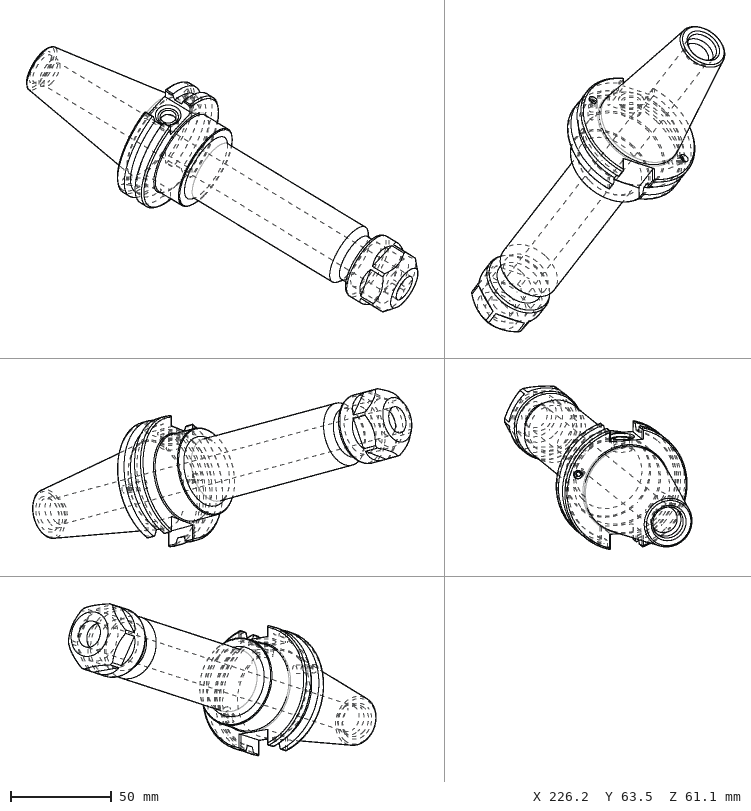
import cadquery as cq
import math

LENGTH = 226.2

cut_overrun = 2.3

taper_nose_radius = 11.5
taper_small_radius = 12.5
taper_nose_chamfer = taper_small_radius - taper_nose_radius
taper_end_x = 68.5
taper_large_radius = 22.2

flange_start_x = 71.0
flange_end_x = 87.5
flange_radius = 63.5 / 2
flange_chamfer = 1.0
flange_root_fillet = 0.57
groove_x = 79.5
groove_floor_radius = 56.8 / 2
groove_floor_width = 4.0
groove_mouth_width = 6.8

collar_radius = 22.2
collar_end_x = 103.0
collar_chamfer = 0.5
shank_radius = 32.0 / 2
shank_start_x = 106.3
shoulder_radius = 4.0
shank_end_x = 191.9
neck_radius = 12.5
neck_start_x = 195.3
nose_end_x = 219.5

bore_mouth_radius = 9.0
pilot_radius = 8.0
pilot_depth = 5.0
through_radius = 13.3 / 2
pilot_cone_length = 2.3

slot_width = 16.3
top_slot_floor_z = 25.0
bottom_slot_floor_z = -22.6
slot_edge_chamfer = 0.7

chip_mouth_radius = 6.3
chip_radius = 10.2 / 2
chip_depth = 6.8
plug_hole_radius = 8.0 / 2
plug_hole_depth = 3.5
plug_point_depth = 1.5
plug_recess = chip_mouth_radius - chip_radius

coolant_circle_radius = 27.0
coolant_clock_angle = 20.0
coolant_tilt = 25.0
coolant_radius = 2.0
coolant_depth = 11.3
screw_recess = 1.8
screw_length = 4.5
socket_radius = 1.1
socket_depth = 1.8

nut_start_x = 202.3
nut_radius = 35.0 / 2
nut_rear_chamfer = 0.7
nut_rear_chamfer_length = 1.4
nut_front_radius = 11.3
flat_count = 6
hex_across_flats = 31.2
hex_slope_start_x = 210.9
hex_slope_length = 1.5


def turned(outline):
    """Revolve a closed (X, radius) outline about the X axis."""
    return outline.close().revolve(360, (0, 0, 0), (1, 0, 0))


def holder_blank():
    nose = cq.Workplane("XY").moveTo(0, 0).lineTo(0, taper_nose_radius)
    taper = (
        nose.lineTo(taper_nose_chamfer, taper_small_radius)
        .lineTo(taper_end_x, taper_large_radius)
        .lineTo(flange_start_x - flange_root_fillet, taper_large_radius)
        .radiusArc((flange_start_x, taper_large_radius + flange_root_fillet), -flange_root_fillet)
    )
    flange = (
        taper.lineTo(flange_start_x, flange_radius - flange_chamfer)
        .lineTo(flange_start_x + flange_chamfer, flange_radius)
        .lineTo(groove_x - groove_mouth_width / 2, flange_radius)
        .lineTo(groove_x - groove_floor_width / 2, groove_floor_radius)
        .lineTo(groove_x + groove_floor_width / 2, groove_floor_radius)
        .lineTo(groove_x + groove_mouth_width / 2, flange_radius)
        .lineTo(flange_end_x - flange_chamfer, flange_radius)
        .lineTo(flange_end_x, flange_radius - flange_chamfer)
        .lineTo(flange_end_x, collar_radius + flange_root_fillet)
        .radiusArc((flange_end_x + flange_root_fillet, collar_radius), -flange_root_fillet)
    )
    shoulder_drop = shoulder_radius - math.sqrt(shoulder_radius**2 - (shank_start_x - collar_end_x) ** 2)
    shank = (
        flange.lineTo(collar_end_x - collar_chamfer, collar_radius)
        .lineTo(collar_end_x, collar_radius - collar_chamfer)
        .lineTo(collar_end_x, shank_radius + shoulder_drop)
        .radiusArc((shank_start_x, shank_radius), -shoulder_radius)
        .lineTo(shank_end_x, shank_radius)
        .lineTo(neck_start_x, neck_radius)
        .lineTo(nose_end_x, neck_radius)
        .lineTo(nose_end_x, 0)
    )
    return turned(shank)


def bore():
    mouth_depth = bore_mouth_radius - pilot_radius
    return turned(
        cq.Workplane("XY")
        .moveTo(0, 0)
        .lineTo(0, bore_mouth_radius)
        .lineTo(mouth_depth, pilot_radius)
        .lineTo(pilot_depth, pilot_radius)
        .lineTo(pilot_depth + pilot_cone_length, through_radius)
        .lineTo(LENGTH, through_radius)
        .lineTo(LENGTH, 0)
    )


def driving_slot(floor_z):
    """Cutter that clears the flange outward from floor_z and chamfers the edges of the slot walls."""
    half_width = slot_width / 2
    flared_half_width = half_width + slot_edge_chamfer
    outer_z = math.copysign(flange_radius, floor_z)
    end_flared_outline = [
        (flange_start_x, flared_half_width),
        (flange_start_x + slot_edge_chamfer, half_width),
        (flange_end_x - slot_edge_chamfer, half_width),
        (flange_end_x, flared_half_width),
    ]
    mirrored = [(x, -y) for x, y in reversed(end_flared_outline)]
    end_flared_slot = (
        cq.Workplane("XY", origin=(0, 0, floor_z))
        .polyline(end_flared_outline + mirrored)
        .close()
        .extrude(outer_z - floor_z)
    )

    rim_z = math.sqrt(flange_radius**2 - half_width**2)
    rim_side = math.copysign(1, floor_z)
    rim_wedge = (
        cq.Workplane("YZ", origin=(flange_start_x, 0, 0))
        .moveTo(-half_width, rim_side * (rim_z - slot_edge_chamfer))
        .lineTo(half_width, rim_side * (rim_z - slot_edge_chamfer))
        .lineTo(flared_half_width, rim_side * rim_z)
        .lineTo(flared_half_width, rim_side * flange_radius)
        .lineTo(-flared_half_width, rim_side * flange_radius)
        .lineTo(-flared_half_width, rim_side * rim_z)
        .close()
        .extrude(flange_end_x - flange_start_x)
    )
    return end_flared_slot.union(rim_wedge)


def chip_hole():
    """Countersunk flat-bottomed hole, revolved about a vertical axis."""
    profile = (
        cq.Workplane("XZ", origin=(groove_x, 0, top_slot_floor_z))
        .moveTo(0, 0)
        .lineTo(chip_mouth_radius, 0)
        .lineTo(chip_radius, -plug_recess)
        .lineTo(chip_radius, -chip_depth)
        .lineTo(0, -chip_depth)
        .close()
    )
    return profile.revolve(360, (0, 0, 0), (0, 1, 0))


def chip_plug():
    """Plug filling the chip hole below its countersink, with a pointed blind hole."""
    hole_floor = -plug_recess - plug_hole_depth
    profile = (
        cq.Workplane("XZ", origin=(groove_x, 0, top_slot_floor_z))
        .moveTo(0, -chip_depth)
        .lineTo(chip_radius, -chip_depth)
        .lineTo(chip_radius, -plug_recess)
        .lineTo(plug_hole_radius, -plug_recess)
        .lineTo(plug_hole_radius, hole_floor)
        .lineTo(0, hole_floor - plug_point_depth)
        .close()
    )
    return profile.revolve(360, (0, 0, 0), (0, 1, 0))


def coolant_plane(side):
    """Plane at a coolant hole mouth, its normal pointing into the flange and toward the axis."""
    clock = math.radians(coolant_clock_angle)
    outward = cq.Vector(0, side * math.cos(clock), side * math.sin(clock))
    tilt = math.radians(coolant_tilt)
    mouth = cq.Vector(flange_start_x, 0, 0) + outward * coolant_circle_radius
    inward = cq.Vector(math.cos(tilt), 0, 0) - outward * math.sin(tilt)
    return cq.Plane(mouth, xDir=outward.cross(cq.Vector(1, 0, 0)), normal=inward)


def coolant_hole(side):
    return (
        cq.Workplane(coolant_plane(side))
        .workplane(offset=-cut_overrun)
        .circle(coolant_radius)
        .extrude(cut_overrun + coolant_depth)
    )


def coolant_screw(side):
    seat = cq.Workplane(coolant_plane(side)).workplane(offset=screw_recess)
    socket = seat.circle(socket_radius).extrude(socket_depth)
    return seat.circle(coolant_radius).extrude(screw_length).cut(socket)


def make_holder():
    holder = holder_blank().cut(bore())
    for floor_z in (top_slot_floor_z, bottom_slot_floor_z):
        holder = holder.cut(driving_slot(floor_z))
    holder = holder.cut(chip_hole())
    for side in (1, -1):
        holder = holder.cut(coolant_hole(side))
    return holder


def hex_flat_cut():
    """Material removed above the flat on +Z, with a sloped end toward the rear."""
    flat_z = hex_across_flats / 2
    top_z = nut_radius + cut_overrun
    slope_per_height = hex_slope_length / (nut_radius - flat_z)
    return (
        cq.Workplane("XZ")
        .moveTo(hex_slope_start_x + hex_slope_length, flat_z)
        .lineTo(LENGTH, flat_z)
        .lineTo(LENGTH, top_z)
        .lineTo(hex_slope_start_x - slope_per_height * (top_z - nut_radius), top_z)
        .close()
        .extrude(nut_radius, both=True)
    )


def make_nut():
    front_cone_length = nut_radius - nut_front_radius
    nut = turned(
        cq.Workplane("XY")
        .moveTo(nut_start_x, neck_radius)
        .lineTo(nut_start_x, nut_radius - nut_rear_chamfer)
        .lineTo(nut_start_x + nut_rear_chamfer_length, nut_radius)
        .lineTo(LENGTH - front_cone_length, nut_radius)
        .lineTo(LENGTH, nut_front_radius)
        .lineTo(LENGTH, through_radius)
        .lineTo(nose_end_x, through_radius)
        .lineTo(nose_end_x, neck_radius)
    )
    for index in range(flat_count):
        nut = nut.cut(hex_flat_cut().rotate((0, 0, 0), (1, 0, 0), 360 / flat_count * index))
    return nut


holder = make_holder()
nut = make_nut()
plug = chip_plug()
screws = [coolant_screw(side) for side in (1, -1)]

bodies = [holder.val(), nut.val(), plug.val(), *[screw.val() for screw in screws]]
result = cq.Compound.makeCompound(bodies)